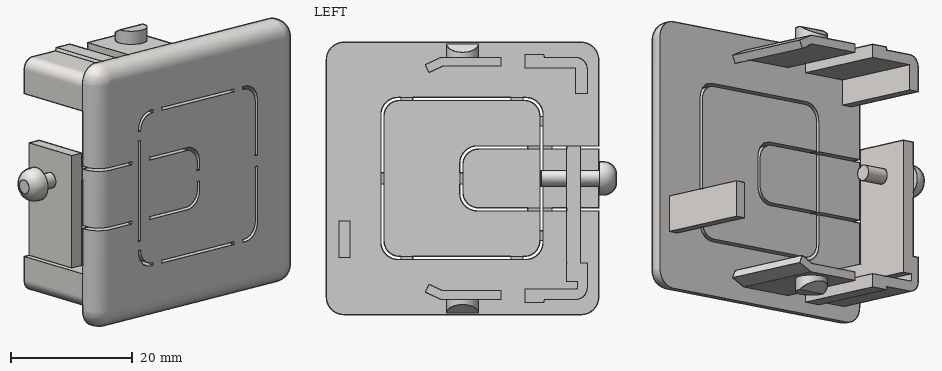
import cadquery as cq
import math

PLATE_SIZE = 44.85
PLATE_THICKNESS = 3.65
PLATE_CORNER_RADIUS = 2.95
PLATE_RIM = 0.75
HALF_PLATE = PLATE_SIZE / 2

SLIT_WIDTH = 0.5
SLIT_OUTER_RADIUS = 2.8
SLIT_INNER_RADIUS = 2.6
SQUARE_OUTER = 26.65
SQUARE_CENTRE_Y = 0.1
TONGUE_OUTER_WIDTH = 10.65
TONGUE_END_Y = 0.45

WEB_THICKNESS = 0.7
WEB_LENGTH = 2.0
WEB_OFFSET = 9.05
SIDE_WEB_LENGTH = 1.6
SIDE_WEB_OFFSET = 9.4
CENTRE_WEB_LENGTH = 1.9
TONGUE_WEB_NEAR_Y = -10.7
TONGUE_WEB_FAR_Y = -14.75

LEG_LENGTH = 16.22
LEG_TOP_Z = 19.9

FLAT_LEG_THICKNESS = 1.8
FLAT_LEG_WIDTH = 5.95
FLAT_LEG_Y = 19.4
FLAT_LEG_Z = -10.0

ARM_THICKNESS = 1.45
ARM_END_Y = -6.3
ARM_BEND_Y = 3.6
ARM_TIP_LENGTH = 2.8
ARM_BEND_ANGLE = 25.0
BUTTON_DIAMETER = 5.25
BUTTON_X = -12.45
BUTTON_TOP_Z = 22.15
BUTTON_RAMP_ANGLE = 28.0

HOOK_INNER_Y = -10.25
HOOK_OUTER_Y = -20.5
HOOK_SHELF_THICKNESS = 1.7
HOOK_FLANGE_THICKNESS = 1.95
LOWER_FLANGE_THICKNESS = 1.57
HOOK_FLANGE_END_Z = 13.95
HOOK_CORNER_RADIUS = 1.9
BEAD_HEIGHT = 0.52
BEAD_WIDTH = 3.05
BEAD_SLOPE_WIDTH = 0.2
NOTCH_RADIUS = 0.25

WALL_INNER_Y = -17.15
WALL_THICKNESS = 2.3
WALL_DEPTH = 10.35
WALL_TOP_Z = 5.3
WALL_FOOT_BOTTOM_Z = -16.95

SCREW_X = -11.0
SHAFT_DIAMETER = 2.62
SHAFT_TIP_Y = -12.95
HEAD_DIAMETER = 5.55
HEAD_BASE_Y = -22.5
HEAD_TOP_Y = -25.3
HEAD_RIM = 0.65
HEAD_FLAT_DIAMETER = 2.35


def box(x_range, y_range, z_range):
    """Axis-aligned block between the given limits."""
    size = [high - low for low, high in (x_range, y_range, z_range)]
    corner = (x_range[0], y_range[0], z_range[0])
    return cq.Workplane("XY").box(*size, centered=False).translate(corner)


def mirrored(shape):
    """Copy of the shape reflected in the plane Z = 0."""
    return shape.mirror("XY")


def leg_from(outline):
    """Extrude a closed YZ outline over the leg length, away from the plate."""
    return outline.extrude(-LEG_LENGTH)


def rounded_block(y_range, z_range, radius):
    """Plate-thick block with rounded edges along X."""
    return box((0, PLATE_THICKNESS), y_range, z_range).edges("|X").fillet(radius)


def ring_slit(y_range, z_range):
    """Slit that follows the inside of a rounded rectangle, slightly wider at the corners."""
    inner_y = (y_range[0] + SLIT_WIDTH, y_range[1] - SLIT_WIDTH)
    inner_z = (z_range[0] + SLIT_WIDTH, z_range[1] - SLIT_WIDTH)
    outer = rounded_block(y_range, z_range, SLIT_OUTER_RADIUS)
    return outer.cut(rounded_block(inner_y, inner_z, SLIT_INNER_RADIUS))


def make_webs():
    """Blocks that interrupt the slits next to the outer face."""
    depth = (PLATE_THICKNESS - WEB_THICKNESS, PLATE_THICKNESS)
    half_square = SQUARE_OUTER / 2
    half_tongue = TONGUE_OUTER_WIDTH / 2

    def span(centre, length):
        return (centre - length / 2, centre + length / 2)

    square_left_y = SQUARE_CENTRE_Y + half_square
    square_right_y = SQUARE_CENTRE_Y - half_square
    left_slit = (square_left_y - SLIT_WIDTH, square_left_y)
    right_slit = (square_right_y, square_right_y + SLIT_WIDTH)
    tongue_end_slit = (TONGUE_END_Y - SLIT_WIDTH, TONGUE_END_Y)
    webs = box(depth, left_slit, span(0, CENTRE_WEB_LENGTH))
    webs = webs.add(box(depth, tongue_end_slit, span(0, CENTRE_WEB_LENGTH)))
    tongue_web_spans = (
        (right_slit[1], TONGUE_WEB_NEAR_Y),
        (TONGUE_WEB_FAR_Y, right_slit[0]),
    )
    for side in (-1, 1):
        square_z = span(side * (half_square - SLIT_WIDTH / 2), SLIT_WIDTH)
        tongue_z = span(side * (half_tongue - SLIT_WIDTH / 2), SLIT_WIDTH)
        for offset in (-WEB_OFFSET, WEB_OFFSET):
            webs = webs.add(box(depth, span(SQUARE_CENTRE_Y + offset, WEB_LENGTH), square_z))
        for tongue_span in tongue_web_spans:
            webs = webs.add(box(depth, tongue_span, tongue_z))
        webs = webs.add(box(depth, right_slit, span(side * SIDE_WEB_OFFSET, SIDE_WEB_LENGTH)))
    return webs.combine()


def make_plate():
    """Rounded cover plate with a square and a tongue-shaped knock-out."""
    full = (-HALF_PLATE, HALF_PLATE)
    half_square = SQUARE_OUTER / 2
    half_tongue = TONGUE_OUTER_WIDTH / 2
    plate = rounded_block(full, full, PLATE_CORNER_RADIUS)
    plate = plate.faces(">X").edges().fillet(PLATE_THICKNESS - PLATE_RIM)

    square_y = (SQUARE_CENTRE_Y - half_square, SQUARE_CENTRE_Y + half_square)
    square_slit = ring_slit(square_y, (-half_square, half_square))
    tongue_slit = ring_slit((-PLATE_SIZE, TONGUE_END_Y), (-half_tongue, half_tongue))
    slits = square_slit.union(tongue_slit).cut(make_webs())
    return plate.cut(slits)


def make_flat_leg():
    """Plain strip near the +Y edge of the plate."""
    half_thickness = FLAT_LEG_THICKNESS / 2
    half_width = FLAT_LEG_WIDTH / 2
    return box(
        (-LEG_LENGTH, 0),
        (FLAT_LEG_Y - half_thickness, FLAT_LEG_Y + half_thickness),
        (FLAT_LEG_Z - half_width, FLAT_LEG_Z + half_width),
    )


def make_upper_arm():
    """Spring arm bent inward at its tip, with a ramped latch button on top."""
    angle = math.radians(ARM_BEND_ANGLE)
    tip_y = ARM_BEND_Y + ARM_TIP_LENGTH * math.cos(angle)
    tip_z = LEG_TOP_Z - ARM_TIP_LENGTH * math.sin(angle)
    inner_bend_y = ARM_BEND_Y - ARM_THICKNESS * math.tan(angle / 2)
    underside_z = LEG_TOP_Z - ARM_THICKNESS
    outline = cq.Workplane("YZ").polyline([
        (ARM_END_Y, LEG_TOP_Z),
        (ARM_BEND_Y, LEG_TOP_Z),
        (tip_y, tip_z),
        (tip_y - ARM_THICKNESS * math.sin(angle), tip_z - ARM_THICKNESS * math.cos(angle)),
        (inner_bend_y, underside_z),
        (ARM_END_Y, underside_z),
    ]).close()

    radius = BUTTON_DIAMETER / 2
    button_base_z = LEG_TOP_Z - ARM_THICKNESS / 2
    button = (
        cq.Workplane("XY", origin=(BUTTON_X, 0, button_base_z))
        .circle(radius)
        .extrude(BUTTON_TOP_Z - button_base_z)
    )
    ramp_drop = radius * math.tan(math.radians(BUTTON_RAMP_ANGLE))
    ramp = (
        cq.Workplane("XZ")
        .polyline([
            (BUTTON_X, BUTTON_TOP_Z),
            (BUTTON_X - radius, BUTTON_TOP_Z),
            (BUTTON_X - radius, BUTTON_TOP_Z - ramp_drop),
        ])
        .close()
        .extrude(radius, both=True)
    )
    return leg_from(outline).union(button.cut(ramp))


def make_upper_hook(flange_thickness):
    """L-shaped corner hook with a raised bead along its free edge."""
    bead_end_y = HOOK_INNER_Y - BEAD_WIDTH
    bead_top_z = LEG_TOP_Z + BEAD_HEIGHT
    flange_inner_y = HOOK_OUTER_Y + flange_thickness
    underside_z = LEG_TOP_Z - HOOK_SHELF_THICKNESS
    outline = (
        cq.Workplane("YZ")
        .moveTo(HOOK_INNER_Y, underside_z)
        .lineTo(HOOK_INNER_Y, bead_top_z)
        .lineTo(bead_end_y, bead_top_z)
        .lineTo(bead_end_y - BEAD_SLOPE_WIDTH, LEG_TOP_Z)
        .lineTo(HOOK_OUTER_Y + HOOK_CORNER_RADIUS, LEG_TOP_Z)
        .radiusArc((HOOK_OUTER_Y, LEG_TOP_Z - HOOK_CORNER_RADIUS), -HOOK_CORNER_RADIUS)
        .lineTo(HOOK_OUTER_Y, HOOK_FLANGE_END_Z)
        .lineTo(flange_inner_y, HOOK_FLANGE_END_Z)
        .lineTo(flange_inner_y, underside_z)
        .close()
    )
    return leg_from(outline)


def make_lower_hook_with_wall():
    """Mirrored hook with a full-length foot on its flange that carries the shorter screw wall."""
    hook = mirrored(make_upper_hook(LOWER_FLANGE_THICKNESS))
    wall_y = (WALL_INNER_Y - WALL_THICKNESS, WALL_INNER_Y)
    wall = box((-LEG_LENGTH, -LEG_LENGTH + WALL_DEPTH), wall_y, (-HOOK_FLANGE_END_Z, WALL_TOP_Z))
    foot = box((-LEG_LENGTH, 0), wall_y, (WALL_FOOT_BOTTOM_Z, -HOOK_FLANGE_END_Z))
    body = hook.union(foot).union(wall).clean()
    flange_inner_y = HOOK_OUTER_Y + LOWER_FLANGE_THICKNESS
    shelf_z = HOOK_SHELF_THICKNESS - LEG_TOP_Z
    notch_corner = (-LEG_LENGTH / 2, flange_inner_y, shelf_z)
    nearest = cq.selectors.NearestToPointSelector(notch_corner)
    return body.edges("|X").edges(nearest).fillet(NOTCH_RADIUS)


def make_screw():
    """Round-headed screw along Y, revolved about its own axis."""
    shaft_radius = SHAFT_DIAMETER / 2
    head_radius = HEAD_DIAMETER / 2
    flat_radius = HEAD_FLAT_DIAMETER / 2
    rim_y = HEAD_BASE_Y - HEAD_RIM
    profile = (
        cq.Workplane("XY", origin=(SCREW_X, 0, 0))
        .moveTo(0, SHAFT_TIP_Y)
        .lineTo(shaft_radius, SHAFT_TIP_Y)
        .lineTo(shaft_radius, HEAD_BASE_Y)
        .lineTo(head_radius, HEAD_BASE_Y)
        .lineTo(head_radius, rim_y)
        .tangentArcPoint((flat_radius, HEAD_TOP_Y), relative=False)
        .lineTo(0, HEAD_TOP_Y)
        .close()
    )
    return profile.revolve(360, (0, 0, 0), (0, 1, 0))


upper_arm = make_upper_arm()
result = (
    make_plate()
    .union(make_flat_leg())
    .union(upper_arm)
    .union(mirrored(upper_arm))
    .union(make_upper_hook(HOOK_FLANGE_THICKNESS))
    .union(make_lower_hook_with_wall())
    .union(make_screw())
)